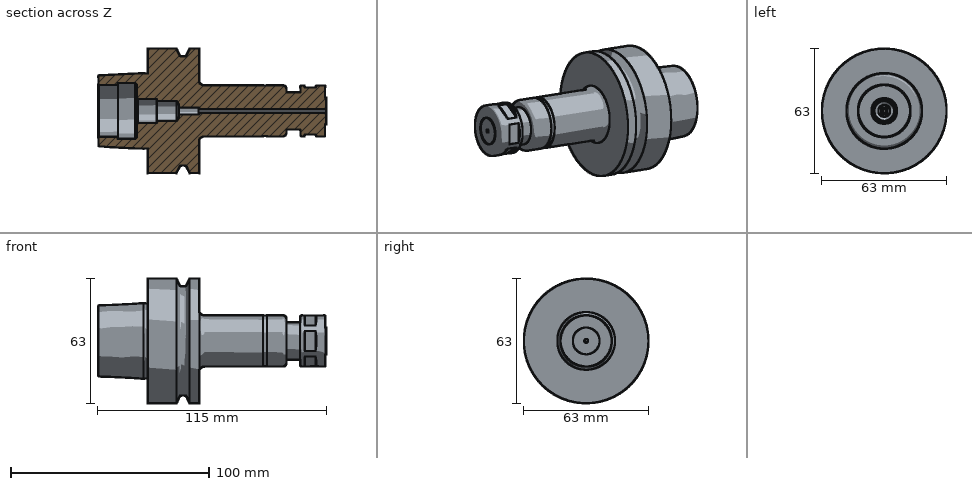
import cadquery as cq
import math


tail_length = 25.0
nose_x = 90.0
tail_x = -tail_length

taper_end_x = -2.0
taper_large_radius = 19.15
taper_ratio = 1 / 20
tail_round = 0.9
taper_small_radius = taper_large_radius - taper_ratio * (taper_end_x - tail_x)
relief_chamfer_length = 0.7
relief_radius = 18.95
relief_round = 0.6
relief_round_x = -0.45
relief_mouth_radius = 20.3

flange_radius = 63.0 / 2
flange_length = 26.0
groove_center_x = 17.8
groove_mouth_width = 6.6
groove_floor_width = 2.9
groove_floor_radius = 27.6
groove_floor_round = 1.0

shank_radius = 26.0 / 2
shank_end_x = 70.0
shank_end_round = 2.0
blend_radius = 3.1
blend_length = 2.7
ring_start_x = 58.0
ring_width = 2.0
ring_depth = 0.15

neck_radius = 19.0 / 2
nut_start_x = 76.8
nut_end_x = 89.6
nut_radius = 12.95
nut_rear_round = 1.0
nut_front_round = 0.75
nose_radius = 13.5 / 2

pocket_count = 6
pocket_floor_distance = 11.9
pocket_start_x = 79.2
pocket_end_x = 84.5
pocket_rear_flare = 0.3
pocket_front_flare = 0.6

bore_radius = 26.0 / 2
bore_chamfer = 0.35
bore_lip_x = tail_x + 10.0
bore_floor_x = tail_x + 19.5
bore_recess_radius = 14.0
bore_floor_chamfer = 1.0
socket_radius = 12.0 / 2
socket_chamfer = 0.5
socket_depth = 10.0
pilot_radius = 10.0 / 2
pilot_chamfer = 0.25
pilot_depth = 10.0
cone_end_radius = 6.0 / 2
drill_point_angle = 118.0
cone_length = (pilot_radius - cone_end_radius) / math.tan(math.radians(drill_point_angle / 2))
feed_radius = 3.5 / 2
feed_depth = 10.0
through_radius = 1.7 / 2


def revolve_about_x(profile):
    """Turn a closed half profile of (x, radius) points about the X axis."""
    return profile.close().revolve(360, (0, 0, 0), (1, 0, 0))


def make_body():
    blend_end_x = flange_length + blend_length
    blend_center_r = shank_radius + blend_radius
    blend_start_r = blend_center_r - math.sqrt(blend_radius**2 - blend_length**2)
    half_angle = math.asin(blend_length / blend_radius) / 2
    blend_mid = (
        blend_end_x - blend_radius * math.sin(half_angle),
        blend_center_r - blend_radius * math.cos(half_angle),
    )
    relief_start_x = taper_end_x + relief_chamfer_length
    relief_round_mid = (
        relief_round_x + relief_round * math.sin(math.pi / 4),
        relief_radius + relief_round * (1 - math.cos(math.pi / 4)),
    )
    relief_round_end = (relief_round_x + relief_round, relief_radius + relief_round)
    profile = (
        cq.Workplane("XY")
        .moveTo(tail_x, 0)
        .lineTo(tail_x, taper_small_radius)
        .lineTo(taper_end_x, taper_large_radius)
        .lineTo(relief_start_x, relief_radius)
        .lineTo(relief_round_x, relief_radius)
        .threePointArc(relief_round_mid, relief_round_end)
        .lineTo(0, relief_mouth_radius)
        .lineTo(0, flange_radius)
        .lineTo(flange_length, flange_radius)
        .lineTo(flange_length, blend_start_r)
        .threePointArc(blend_mid, (blend_end_x, shank_radius))
        .lineTo(shank_end_x, shank_radius)
        .lineTo(shank_end_x, 0)
    )
    body = revolve_about_x(profile)
    body = body.faces("<X").edges().fillet(tail_round)
    return body.faces(">X").edges().fillet(shank_end_round)


def make_gripper_groove():
    half_mouth = groove_mouth_width / 2
    half_floor = groove_floor_width / 2
    profile = (
        cq.Workplane("XY")
        .moveTo(groove_center_x - half_mouth, flange_radius)
        .lineTo(groove_center_x - half_floor, groove_floor_radius)
        .lineTo(groove_center_x + half_floor, groove_floor_radius)
        .lineTo(groove_center_x + half_mouth, flange_radius)
    )
    groove = revolve_about_x(profile)
    inner_edges = cq.selectors.RadiusNthSelector(0)
    floor_edges = groove.edges("%CIRCLE").edges(inner_edges)
    return floor_edges.fillet(groove_floor_round)


def make_cylinder(start_x, end_x, radius):
    return cq.Workplane("YZ", origin=(start_x, 0, 0)).circle(radius).extrude(end_x - start_x)


def make_shank_ring():
    ring_end_x = ring_start_x + ring_width
    outer = make_cylinder(ring_start_x, ring_end_x, shank_radius)
    return outer.cut(make_cylinder(ring_start_x, ring_end_x, shank_radius - ring_depth))


def make_wrench_pocket():
    """Pocket with flared end walls and a flat floor facing -Y."""
    floor_y = -pocket_floor_distance
    outer_y = -nut_radius
    return (
        cq.Workplane("XY")
        .moveTo(pocket_start_x, floor_y)
        .lineTo(pocket_end_x, floor_y)
        .lineTo(pocket_end_x + pocket_front_flare, outer_y)
        .lineTo(pocket_start_x - pocket_rear_flare, outer_y)
        .close()
        .extrude(nut_radius, both=True)
    )


def make_nut():
    nut = make_cylinder(nut_start_x, nut_end_x, nut_radius)
    nut = nut.faces("<X").edges().fillet(nut_rear_round)
    nut = nut.faces(">X").edges().fillet(nut_front_round)
    pocket = make_wrench_pocket()
    for index in range(pocket_count):
        angle = index * 360 / pocket_count
        nut = nut.cut(pocket.rotate((0, 0, 0), (1, 0, 0), angle))
    return nut


def make_bore():
    socket_end_x = bore_floor_x + socket_depth
    pilot_end_x = socket_end_x + pilot_depth
    cone_end_x = pilot_end_x + cone_length
    feed_end_x = cone_end_x + feed_depth
    profile = (
        cq.Workplane("XY")
        .moveTo(tail_x, 0)
        .lineTo(tail_x, bore_radius + bore_chamfer)
        .lineTo(tail_x + bore_chamfer, bore_radius)
        .lineTo(bore_lip_x, bore_radius)
        .lineTo(bore_lip_x, bore_recess_radius)
        .lineTo(bore_floor_x - bore_floor_chamfer, bore_recess_radius)
        .lineTo(bore_floor_x, bore_recess_radius - bore_floor_chamfer)
        .lineTo(bore_floor_x, socket_radius + socket_chamfer)
        .lineTo(bore_floor_x + socket_chamfer, socket_radius)
        .lineTo(socket_end_x, socket_radius)
        .lineTo(socket_end_x, pilot_radius + pilot_chamfer)
        .lineTo(socket_end_x + pilot_chamfer, pilot_radius)
        .lineTo(pilot_end_x, pilot_radius)
        .lineTo(cone_end_x, cone_end_radius)
        .lineTo(cone_end_x, feed_radius)
        .lineTo(feed_end_x, feed_radius)
        .lineTo(feed_end_x, through_radius)
        .lineTo(nose_x, through_radius)
        .lineTo(nose_x, 0)
    )
    return revolve_about_x(profile)


holder = make_body().cut(make_gripper_groove()).cut(make_shank_ring())
neck = make_cylinder(shank_end_x, nut_start_x, neck_radius)
nose = make_cylinder(nut_end_x, nose_x, nose_radius)
result = holder.union(neck).union(make_nut()).union(nose).cut(make_bore())